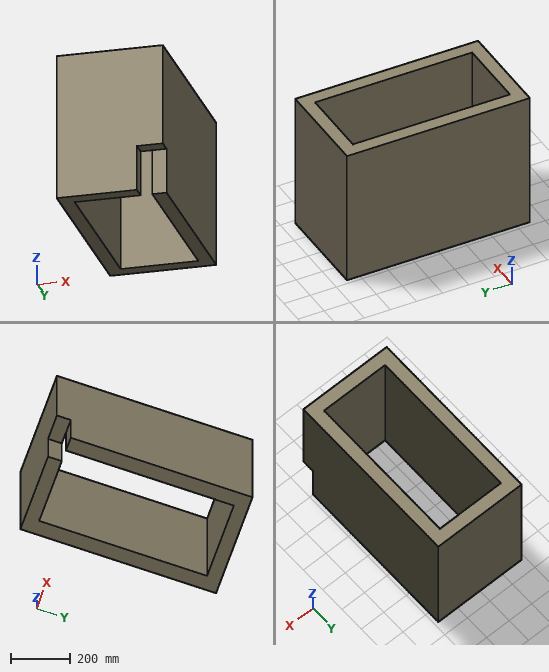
import cadquery as cq

width = 370.0
length = 700.0
height = 520.0
wall = 50.0

notch_width = 90.0
notch_height = 160.0


def corner_box(size_x, size_y, size_z):
    """Box with its minimum corner at the origin."""
    return cq.Workplane("XY").box(size_x, size_y, size_z, centered=False)


outer = corner_box(width, length, height)
cavity = corner_box(width - 2 * wall, length - 2 * wall, height).translate((wall, wall, 0))
sleeve = outer.cut(cavity)

notch = corner_box(notch_width, wall, notch_height).translate((width - notch_width, 0, 0))

result = sleeve.cut(notch)